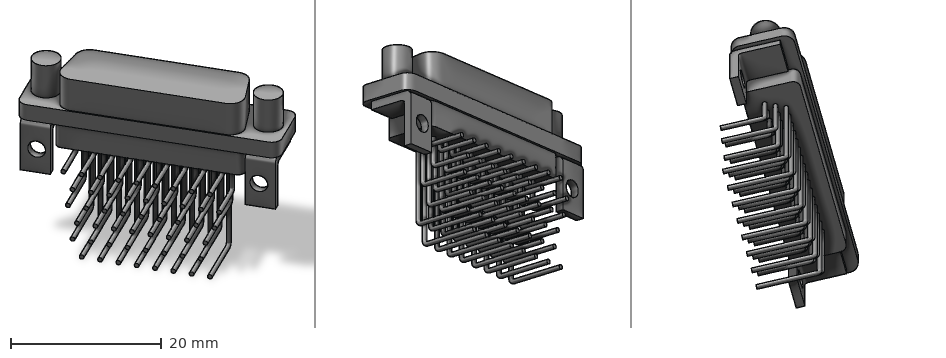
import cadquery as cq
import math

FLANGE_WIDTH = 36.4
FLANGE_DEPTH = 8.7
FLANGE_HEIGHT = 2.4
FLANGE_CORNER_RADIUS = 1.45

SHELL_FRONT_WIDTH = 25.55
SHELL_DEPTH = 8.25
SHELL_TOP = 7.2
SHELL_RADIUS = 2.0
SHELL_SIDE_ANGLE = 10.0

MOUNT_SPACING = 30.8
POST_DIAMETER = 4.0
POST_TOP = 7.35

BLOCK_WIDTH = 26.2
BLOCK_DEPTH = 7.9
BLOCK_HEIGHT = 3.65
BLOCK_RADIUS = 1.02
BLOCK_BACK_INSET = 0.45

BRACKET_WIDTH = 4.2
BRACKET_OUTER_X = 17.7
BRACKET_THICKNESS = 1.2
BRACKET_DROP = 7.8
BRACKET_BACK_INSET = 1.8
BRACKET_OUTER_RADIUS = 1.0
BRACKET_INNER_RADIUS = 0.55
HOLE_DIAMETER = 2.45
HOLE_DROP = 4.22

FRONT_ROW_PINS = 18
ROW_COUNT = 3
ROW_SPACING = 1.3
FRONT_ROW_SPAN = 21.6
PIN_PITCH = FRONT_ROW_SPAN / (FRONT_ROW_PINS - 1)
TAIL_PITCH = 2 * PIN_PITCH
PIN_DIAMETER = 0.65
PIN_BEND_RADIUS = 0.5
FRONT_ROW_INSET = 3.02
PIN_OVERHANG = 3.0
LOWEST_TAIL_DROP = 17.9
PIN_EMBED = 0.35

FLANGE_FRONT = -FLANGE_DEPTH / 2
FLANGE_BACK = FLANGE_DEPTH / 2


def make_flange():
    plate = cq.Workplane("XY").rect(FLANGE_WIDTH, FLANGE_DEPTH).extrude(FLANGE_HEIGHT)
    return plate.edges("|Z").fillet(FLANGE_CORNER_RADIUS)


def make_shell():
    """Trapezoid with rounded corners; the front width is taken across the roundings."""
    angle = math.radians(SHELL_SIDE_ANGLE)
    half_depth = SHELL_DEPTH / 2
    corner_reach = SHELL_RADIUS * math.tan((math.pi / 2 + angle) / 2)
    front_half = SHELL_FRONT_WIDTH / 2 - SHELL_RADIUS + corner_reach
    back_half = front_half - SHELL_DEPTH * math.tan(angle)
    corners = [
        (-front_half, -half_depth),
        (front_half, -half_depth),
        (back_half, half_depth),
        (-back_half, half_depth),
    ]
    shell = cq.Workplane("XY").polyline(corners).close().extrude(SHELL_TOP)
    return shell.edges("|Z").fillet(SHELL_RADIUS)


def make_posts():
    centres = [(-MOUNT_SPACING / 2, 0), (MOUNT_SPACING / 2, 0)]
    return cq.Workplane("XY").pushPoints(centres).circle(POST_DIAMETER / 2).extrude(POST_TOP)


def make_block():
    centre_y = FLANGE_BACK - BLOCK_BACK_INSET - BLOCK_DEPTH / 2
    block = cq.Workplane("XY").center(0, centre_y).rect(BLOCK_WIDTH, BLOCK_DEPTH).extrude(-BLOCK_HEIGHT)
    return block.edges("|Z").fillet(BLOCK_RADIUS)


def make_bracket():
    """Bracket on the +X side: a leg under the flange, bent down flush with its front."""
    inner_x = BRACKET_OUTER_X - BRACKET_WIDTH
    back = FLANGE_BACK - BRACKET_BACK_INSET
    leg_back = FLANGE_FRONT + BRACKET_THICKNESS
    profile = [
        (back, 0),
        (FLANGE_FRONT, 0),
        (FLANGE_FRONT, -BRACKET_DROP),
        (leg_back, -BRACKET_DROP),
        (leg_back, -BRACKET_THICKNESS),
        (back, -BRACKET_THICKNESS),
    ]
    angle_piece = cq.Workplane("YZ", origin=(inner_x, 0, 0)).polyline(profile).close().extrude(BRACKET_WIDTH)
    outer_bend = cq.NearestToPointSelector((BRACKET_OUTER_X - BRACKET_WIDTH / 2, FLANGE_FRONT, 0))
    angle_piece = angle_piece.edges("|X").edges(outer_bend).fillet(BRACKET_OUTER_RADIUS)
    inner_bend = cq.NearestToPointSelector(
        (BRACKET_OUTER_X - BRACKET_WIDTH / 2, leg_back, -BRACKET_THICKNESS)
    )
    angle_piece = angle_piece.edges("|X").edges(inner_bend).fillet(BRACKET_INNER_RADIUS)
    hole = (
        cq.Workplane("XZ", origin=(MOUNT_SPACING / 2, leg_back, -HOLE_DROP))
        .circle(HOLE_DIAMETER / 2)
        .extrude(BRACKET_THICKNESS)
    )
    return angle_piece.cut(hole)


def make_pin(x, y, tail_z):
    """Pin going down from the block and turning forward at height tail_z."""
    start_z = PIN_EMBED - BLOCK_HEIGHT
    bend_y = y - PIN_BEND_RADIUS
    bend_z = tail_z + PIN_BEND_RADIUS
    bend_offset = PIN_BEND_RADIUS * math.sqrt(0.5)
    path = (
        cq.Workplane("YZ", origin=(x, 0, 0))
        .moveTo(y, start_z)
        .lineTo(y, bend_z)
        .threePointArc((bend_y + bend_offset, bend_z - bend_offset), (bend_y, tail_z))
        .lineTo(FLANGE_FRONT - PIN_OVERHANG, tail_z)
    )
    return cq.Workplane("XY", origin=(x, y, start_z)).circle(PIN_DIAMETER / 2).sweep(path)


def make_pins():
    """Within each row the pins alternate between an upper and a lower tail level."""
    pins = []
    level_count = 2 * ROW_COUNT
    for row in range(ROW_COUNT):
        pin_count = FRONT_ROW_PINS - row
        first_x = -(pin_count - 1) * PIN_PITCH / 2
        row_y = FLANGE_FRONT + FRONT_ROW_INSET + row * ROW_SPACING
        for index in range(pin_count):
            level = 2 * row + index % 2
            tail_z = -LOWEST_TAIL_DROP + (level_count - 1 - level) * TAIL_PITCH
            pins.append(make_pin(first_x + index * PIN_PITCH, row_y, tail_z))
    return pins


result = make_flange().union(make_shell()).union(make_posts()).union(make_block())
right_bracket = make_bracket()
result = result.union(right_bracket).union(right_bracket.mirror("YZ"))
for pin in make_pins():
    result = result.union(pin)